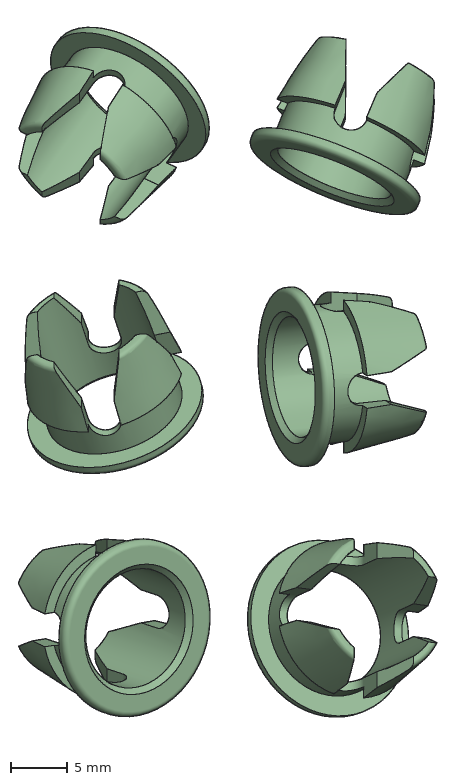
import cadquery as cq


flange_radius = 8.0
flange_thickness = 1.0
flange_fillet = 0.5
bore_radius = 5.4
bore_chamfer = 0.5

neck_radius = 6.2
neck_length = 3.5
barb_radius = 7.2
tip_radius = neck_radius
tip_fillet = 0.5
finger_length = 10.0

slot_width = 3.0
slot_mouth_width = 6.0
slot_straight_length = 2.5

barb_y = -neck_length
tip_y = -finger_length


def revolve_about_y(profile):
    return profile.close().revolve(360, (0, 0, 0), (0, 1, 0))


def make_flange():
    disc = revolve_about_y(
        cq.Workplane("XY")
        .lineTo(flange_radius, 0)
        .lineTo(flange_radius, flange_thickness)
        .lineTo(0, flange_thickness)
    )
    return disc.faces(">Y").edges().fillet(flange_fillet)


def make_sleeve():
    """Straight neck followed by a tapered barb with a rounded tip."""
    sleeve = revolve_about_y(
        cq.Workplane("XY")
        .lineTo(neck_radius, 0)
        .lineTo(neck_radius, barb_y)
        .lineTo(barb_radius, barb_y)
        .lineTo(tip_radius, tip_y)
        .lineTo(0, tip_y)
    )
    return sleeve.faces("<Y").edges().fillet(tip_fillet)


def make_bore():
    """Through bore that widens into a 45 degree chamfer at the flange face."""
    return revolve_about_y(
        cq.Workplane("XY")
        .moveTo(0, tip_y)
        .lineTo(bore_radius, tip_y)
        .lineTo(bore_radius, flange_thickness - bore_chamfer)
        .lineTo(bore_radius + bore_chamfer, flange_thickness)
        .lineTo(0, flange_thickness)
    )


def make_slot():
    """Cross slot along Z: round root level with the barb, straight sides, then a flared mouth."""
    half_width = slot_width / 2
    half_mouth = slot_mouth_width / 2
    flare_y = barb_y - slot_straight_length
    return (
        cq.Workplane("XY")
        .moveTo(-half_width, barb_y)
        .threePointArc((0, barb_y + half_width), (half_width, barb_y))
        .lineTo(half_width, flare_y)
        .lineTo(half_mouth, tip_y)
        .lineTo(-half_mouth, tip_y)
        .lineTo(-half_width, flare_y)
        .close()
        .extrude(flange_radius, both=True)
    )


result = make_flange().union(make_sleeve()).cut(make_bore())
for slot_angle in (0, 90):
    result = result.cut(make_slot().rotate((0, 0, 0), (0, 1, 0), slot_angle))